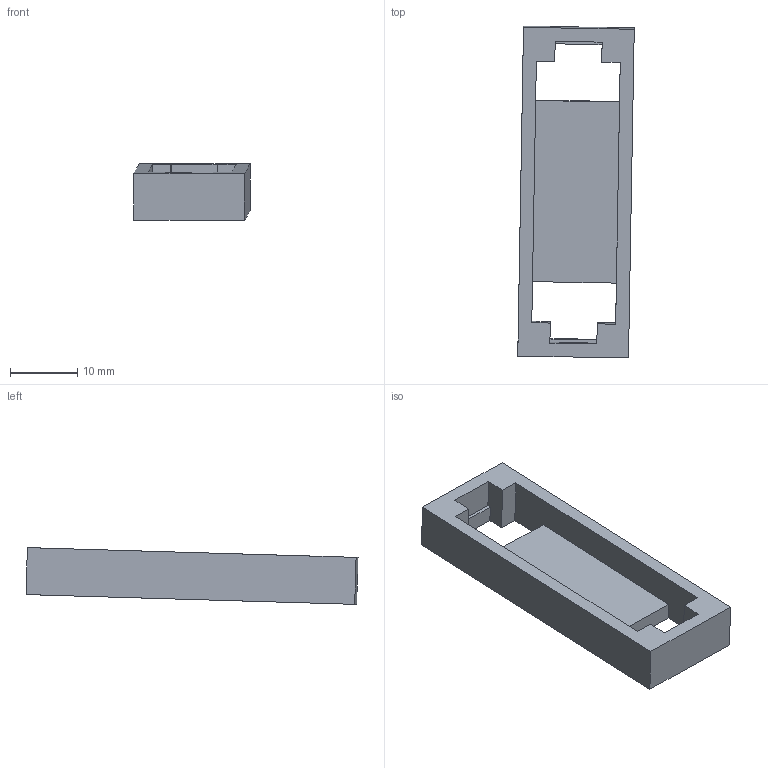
import cadquery as cq

width = 16.5
length = 49.0
height = 7.0

side_wall = 2.0
end_wall = 2.0
corner_block_depth = 5.0
notch_width = 7.0

floor_end_gap = 11.0
floor_height = 2.5
ledge_depth = 0.5
ledge_height = 2.5

yaw_about_z = -1.0
pitch_about_x = 1.7

opening_width = width - 2 * side_wall
opening_length = length - 2 * corner_block_depth
notch_length = length - 2 * end_wall


def centered_block(x_size, y_size, z_size):
    """Block centered on X and Y, standing on the base plane."""
    return cq.Workplane("XY").box(x_size, y_size, z_size, centered=(True, True, False))


def make_frame():
    """Rectangular ring whose opening narrows to a notch at both ends."""
    opening = centered_block(opening_width, opening_length, height)
    notches = centered_block(notch_width, notch_length, height)
    return centered_block(width, length, height).cut(opening).cut(notches)


def make_floor():
    """Plate that joins the two long walls at the bottom."""
    return centered_block(opening_width, length - 2 * floor_end_gap, floor_height)


def make_ledge(end):
    """Low step at the end wall of a notch; end is +1 or -1 along Y."""
    ledge_center_y = end * (notch_length - ledge_depth) / 2
    ledge = centered_block(notch_width, ledge_depth, ledge_height)
    return ledge.translate((0, ledge_center_y, 0))


def tilt(body):
    """Yaw and then pitch the part about its center."""
    centered = body.translate((0, 0, -height / 2))
    yawed = centered.rotate((0, 0, 0), (0, 0, 1), yaw_about_z)
    return yawed.rotate((0, 0, 0), (1, 0, 0), pitch_about_x)


holder = make_frame().union(make_floor())
for end in (1, -1):
    holder = holder.union(make_ledge(end))

result = tilt(holder)